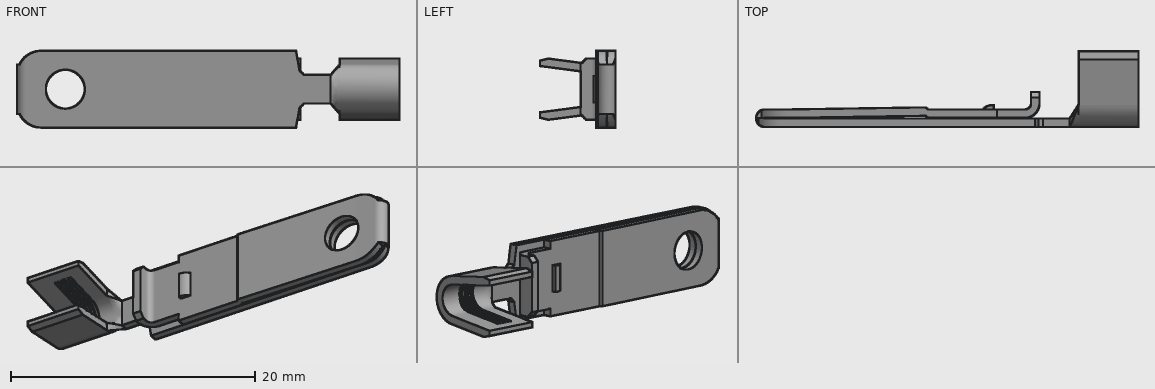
import cadquery as cq
import math


sheet = 0.71
layer_gap = 0.04
blade_width = 6.32
blade_half = blade_width / 2
back_bottom = sheet + layer_gap
back_top = back_bottom + sheet
fold_radius = back_top / 2
fold_strip_width = 4.08
front_corner_radius = 2.0
back_corner_radius = 2.56
hole_diameter = 3.17
hole_x = 3.96

blade_end = 22.87
neck_half = 1.19
shoulder_x = 23.13
shoulder_bevel = 0.38
neck_end = 25.7

bow_start = 2.6
bow_peak = 13.9
bow_height = 0.17
bow_end = 14.1
back_step_x = 19.74
narrow_half = 2.52

lip_end = 23.24
lip_top = 2.88
lip_chamfer = 0.46
bend_inner_radius = 0.5
bend_outer_radius = bend_inner_radius + sheet

catch_start = 18.6
catch_end = 19.5
catch_width = 2.2
catch_mid_height = 0.31
catch_height = 0.34

barrel_start = 26.44
part_length = 31.34
barrel_top = 6.22
barrel_radius = 2.04
barrel_bore = barrel_radius - sheet
wing_angle = math.radians(7.5)
wing_bevel_start = 5.53
wing_tip_outer = 2.34

groove_count = 3
first_groove_x = 28.02
groove_pitch = 0.6
groove_width = 0.32
groove_depth = 0.1
groove_top = 5.15


def cross_section(points, z_half):
    """Extrude a closed X-Y outline symmetrically about Z = 0."""
    return cq.Workplane("XY").polyline(points).close().extrude(z_half, both=True)


def blade_outline(length, corner_radius, y_start, y_end):
    """Blade plan with rounded corners at the fold end and a straight fold strip."""
    depth = y_end - y_start
    plan = cq.Workplane("XY").box(length, depth, blade_width, centered=(False, False, True))
    plan = plan.edges("<X and |Y").fillet(corner_radius)
    strip = cq.Workplane("XY").box(corner_radius, depth, fold_strip_width, centered=(False, False, True))
    return plan.union(strip).translate((0, y_start, 0))


def make_fold():
    """Half-round fold that joins the two layers."""
    gap_radius = layer_gap / 2
    return (
        cq.Workplane("XY")
        .moveTo(fold_radius, 0)
        .threePointArc((0, fold_radius), (fold_radius, back_top))
        .lineTo(fold_radius, back_bottom)
        .threePointArc((fold_radius - gap_radius, fold_radius), (fold_radius, sheet))
        .close()
        .extrude(blade_half, both=True)
    )


def make_front_layer():
    """Flat front layer with its slanted, bevelled shoulders and the neck."""
    neck_start = shoulder_x + shoulder_bevel
    shoulder_half = neck_half + shoulder_bevel
    upper_edge = [
        (fold_radius, blade_half),
        (blade_end, blade_half),
        (shoulder_x, shoulder_half),
        (neck_start, neck_half),
        (neck_end, neck_half),
    ]
    lower_edge = [(x, -z) for x, z in reversed(upper_edge)]
    return cq.Workplane("XZ").polyline(upper_edge + lower_edge).close().extrude(-sheet)


def make_back_layer():
    """Bowed wide stretch, narrow stretch with the upturned lip, and the catch."""
    wide = cross_section(
        [
            (fold_radius, back_bottom),
            (bow_start, back_bottom),
            (bow_peak, back_bottom + bow_height),
            (bow_end, back_bottom),
            (back_step_x, back_bottom),
            (back_step_x, back_top),
            (bow_end, back_top),
            (bow_peak, back_top + bow_height),
            (bow_start, back_top),
            (fold_radius, back_top),
        ],
        blade_half,
    )
    bend_x = lip_end - bend_outer_radius
    bend_y = back_bottom + bend_outer_radius
    diagonal = math.sqrt(0.5)
    lip = (
        cq.Workplane("XY")
        .moveTo(back_step_x, back_bottom)
        .lineTo(bend_x, back_bottom)
        .threePointArc(
            (bend_x + bend_outer_radius * diagonal, bend_y - bend_outer_radius * diagonal),
            (lip_end, bend_y),
        )
        .lineTo(lip_end, lip_top)
        .lineTo(lip_end - sheet, lip_top)
        .lineTo(lip_end - sheet, bend_y)
        .threePointArc(
            (bend_x + bend_inner_radius * diagonal, bend_y - bend_inner_radius * diagonal),
            (bend_x, back_top),
        )
        .lineTo(back_step_x, back_top)
        .close()
        .extrude(narrow_half, both=True)
    )
    lip = lip.faces(">Y").edges("|X").chamfer(lip_chamfer)
    catch = (
        cq.Workplane("XY")
        .moveTo(catch_start, back_top)
        .threePointArc(
            ((catch_start + catch_end) / 2, back_top + catch_mid_height),
            (catch_end, back_top + catch_height),
        )
        .lineTo(catch_end, back_top)
        .close()
        .extrude(catch_width / 2, both=True)
    )
    return wide.union(lip).union(catch)


def make_blade():
    """Both layers joined by the fold, rounded at the fold end and pierced."""
    split_y = fold_radius
    front_envelope = blade_outline(part_length, front_corner_radius, 0, split_y)
    back_envelope = blade_outline(part_length, back_corner_radius, split_y, barrel_top)
    blade = make_front_layer().union(make_fold()).union(make_back_layer())
    blade = blade.intersect(front_envelope.union(back_envelope))
    hole = cq.Workplane("XZ").center(hole_x, 0).circle(hole_diameter / 2).extrude(-barrel_top)
    return blade.cut(hole)


wing_slope = math.tan(wing_angle)


def wing_root(radius):
    """Y and Z where a round floor of this radius runs into its straight wing."""
    return barrel_radius - radius * math.sin(wing_angle), radius * math.cos(wing_angle)


def wing_z(radius, y):
    """Half-opening of the wing surface above a floor of this radius, at height y."""
    root_y, root_z = wing_root(radius)
    return root_z + (y - root_y) * wing_slope


outer_y, outer_z = wing_root(barrel_radius)
inner_y, inner_z = wing_root(barrel_bore)


def make_barrel():
    """Open U with outward-leaning wings, bevelled on the outside of their tips."""
    bevel_z = wing_z(barrel_radius, wing_bevel_start)
    tip_inner_z = wing_z(barrel_bore, barrel_top)
    return (
        cq.Workplane("YZ", origin=(barrel_start, 0, 0))
        .moveTo(outer_y, -outer_z)
        .threePointArc((0, 0), (outer_y, outer_z))
        .lineTo(wing_bevel_start, bevel_z)
        .lineTo(barrel_top, wing_tip_outer)
        .lineTo(barrel_top, tip_inner_z)
        .lineTo(inner_y, inner_z)
        .threePointArc((sheet, 0), (inner_y, -inner_z))
        .lineTo(barrel_top, -tip_inner_z)
        .lineTo(barrel_top, -wing_tip_outer)
        .lineTo(wing_bevel_start, -bevel_z)
        .close()
        .extrude(part_length - barrel_start)
    )


def make_transition():
    """Sheet that curls from the flat neck into the round barrel floor."""
    return (
        cq.Workplane("YZ", origin=(neck_end, 0, 0))
        .moveTo(0, -neck_half)
        .lineTo(0, neck_half)
        .lineTo(sheet, neck_half)
        .lineTo(sheet, -neck_half)
        .close()
        .workplane(offset=barrel_start - neck_end)
        .moveTo(outer_y, -outer_z)
        .threePointArc((0, 0), (outer_y, outer_z))
        .lineTo(inner_y, inner_z)
        .threePointArc((sheet, 0), (inner_y, -inner_z))
        .close()
        .loft(ruled=True, combine=True)
    )


def make_groove(center_x):
    """U-shaped cutter that sinks one groove into the floor and both wings."""
    radius = barrel_bore + groove_depth
    root_y, root_z = wing_root(radius)
    top_z = wing_z(radius, groove_top)
    return (
        cq.Workplane("YZ", origin=(center_x - groove_width / 2, 0, 0))
        .moveTo(root_y, -root_z)
        .threePointArc((barrel_radius - radius, 0), (root_y, root_z))
        .lineTo(groove_top, top_z)
        .lineTo(groove_top, -top_z)
        .close()
        .extrude(groove_width)
    )


result = make_blade().union(make_transition()).union(make_barrel())
for groove_index in range(groove_count):
    result = result.cut(make_groove(first_groove_x + groove_index * groove_pitch))